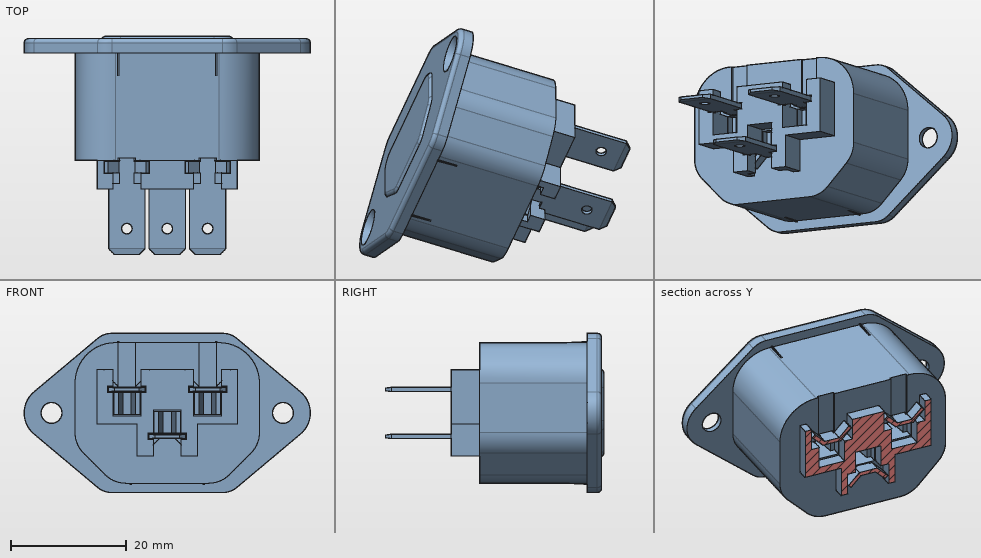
import cadquery as cq
import math


FLANGE_LENGTH = 49.5
FLANGE_HEIGHT = 27.55
FLANGE_THICKNESS = 2.5
FLANGE_END_RADIUS = 4.75
FLANGE_CORNER_RADIUS = 3.8
FLANGE_SLOPE = math.radians(40)
FLANGE_EDGE_ROUND = 0.8
SCREW_HOLE_DIAMETER = 3.55
COUNTERSINK_DIAMETER = 6.45
COUNTERSINK_ANGLE = 90

FACE_WIDTH = 22.75
FACE_HEIGHT = 15.25
FACE_RISE = 0.4
FACE_TOP_RADIUS = 3.25
FACE_CHAMFER = 5.3
FACE_BOTTOM_RADIUS = 2.48
FACE_EDGE_ROUND = 0.8

BODY_WIDTH = 31.9
BODY_HEIGHT = 24.3
BODY_DEPTH = 18.55
BODY_TOP_RADIUS = 7.0
BODY_CHAMFER = 6.7
BODY_BOTTOM_RADIUS = 5.0

RIB_TOP_X = 8.45
RIB_BOTTOM_X = 6.35
RIB_THICKNESS = 0.25
RIB_HEIGHT = 0.2
RIB_LENGTH = 3.9

BLOCK_WIDTH = 24.25
BLOCK_STEM_WIDTH = 10.4
BLOCK_HEIGHT = 14.95
BLOCK_STEP_Z = -1.95
BLOCK_DEPTH = 4.95

LINE_BLADE_X = 7.0
BLADE_Z = 4.05
BLADE_WIDTH = 6.35
BLADE_THICKNESS = 0.8
BLADE_END_Y = -34.85
BLADE_SHOULDER_Y = -22.5
BLADE_HOLE_DIAMETER = 1.8
BLADE_HOLE_TO_END = 4.5
BLADE_END_BEVEL = 1.05
BLADE_END_THINNING = 0.15
NECK_WIDTH = 2.5
NECK_EMBEDMENT = 1.5

WING_INNER_X = 1.4
WING_RUN = 1.9
WING_LENGTH = 2.0
WING_GAP = 0.15

SLOT_WIDTH = 4.8
SLOT_END_Z = -0.55
SLIT_WIDTH = 6.7
SLIT_HEIGHT = 1.15
WING_POCKET_WIDTH = 7.8
WING_POCKET_DEPTH = 2.3
CAVITY_WIDTH = 4.5
CAVITY_END_Z = -0.25
CAVITY_DEPTH = 1.5
TAPER_MOUTH_WIDTH = 2.95
TAPER_FLOOR_WIDTH = 1.4
TAPER_DEPTH = 8.4
GROOVE_WIDTH = 3.05
GROOVE_DEPTH = 0.45

BODY_BACK_Y = -BODY_DEPTH
BLOCK_BACK_Y = BODY_BACK_Y - BLOCK_DEPTH


def box(x_center, width, y_start, y_end, z_start, z_end):
    """Box centred on x_center that spans the given Y and Z ranges."""
    size = (width, abs(y_end - y_start), abs(z_end - z_start))
    center = (x_center, (y_start + y_end) / 2, (z_start + z_end) / 2)
    return cq.Workplane("XY").box(*size).translate(center)


def inlet_prism(width, height, top_radius, chamfer, bottom_radius, y_start, depth):
    """Rounded box with 45 degree lower corners, extruded toward -Y from y_start."""
    half_width = width / 2
    half_height = height / 2
    outline = [
        (-half_width, half_height),
        (half_width, half_height),
        (half_width, chamfer - half_height),
        (half_width - chamfer, -half_height),
        (chamfer - half_width, -half_height),
        (-half_width, chamfer - half_height),
    ]
    prism = cq.Workplane("XZ", origin=(0, y_start, 0)).polyline(outline).close().extrude(depth)
    prism = prism.edges("|Y and (not >Z)").fillet(bottom_radius)
    return prism.edges("|Y and >Z").fillet(top_radius)


def make_flange():
    half_height = FLANGE_HEIGHT / 2
    hole_x = FLANGE_LENGTH / 2 - FLANGE_END_RADIUS
    tip_x = hole_x + FLANGE_END_RADIUS / math.sin(FLANGE_SLOPE)
    corner_x = tip_x - half_height / math.tan(FLANGE_SLOPE)
    outline = [
        (-tip_x, 0),
        (-corner_x, half_height),
        (corner_x, half_height),
        (tip_x, 0),
        (corner_x, -half_height),
        (-corner_x, -half_height),
    ]
    flange = cq.Workplane("XZ").polyline(outline).close().extrude(-FLANGE_THICKNESS)
    flange = flange.edges("|Y and (<X or >X)").fillet(FLANGE_END_RADIUS)
    flange = flange.edges("|Y and (<Z or >Z)").fillet(FLANGE_CORNER_RADIUS)
    flange = flange.faces(">Y").edges().fillet(FLANGE_EDGE_ROUND)
    hole_centers = [(-hole_x, 0), (hole_x, 0)]
    front_face = flange.faces(">Y").workplane(origin=(0, FLANGE_THICKNESS, 0))
    return front_face.pushPoints(hole_centers).cskHole(
        SCREW_HOLE_DIAMETER, COUNTERSINK_DIAMETER, COUNTERSINK_ANGLE
    )


def make_face_plate():
    front_y = FLANGE_THICKNESS + FACE_RISE
    plate = inlet_prism(
        FACE_WIDTH, FACE_HEIGHT, FACE_TOP_RADIUS, FACE_CHAMFER, FACE_BOTTOM_RADIUS, front_y, front_y
    )
    return plate.faces(">Y").edges().fillet(FACE_EDGE_ROUND)


def make_body():
    return inlet_prism(
        BODY_WIDTH, BODY_HEIGHT, BODY_TOP_RADIUS, BODY_CHAMFER, BODY_BOTTOM_RADIUS, 0, BODY_DEPTH
    )


def make_rib(x, side):
    """Rib on the top (side = 1) or bottom (side = -1), fading out toward -Y."""
    surface_z = side * BODY_HEIGHT / 2
    root_z = surface_z - side * RIB_HEIGHT
    crest_z = surface_z + side * RIB_HEIGHT
    profile = [(0, root_z), (0, crest_z), (-RIB_LENGTH, surface_z), (-RIB_LENGTH, root_z)]
    rib = cq.Workplane("YZ").polyline(profile).close().extrude(RIB_THICKNESS / 2, both=True)
    return rib.translate((x, 0, 0))


def make_block():
    half_height = BLOCK_HEIGHT / 2
    bar = box(0, BLOCK_WIDTH, 0, BLOCK_BACK_Y, BLOCK_STEP_Z, half_height)
    stem = box(0, BLOCK_STEM_WIDTH, 0, BLOCK_BACK_Y, -half_height, half_height)
    return bar.union(stem)


def make_tab():
    """Flat outer part of a blade, with a bevelled and thinned end."""
    half_thickness = BLADE_THICKNESS / 2
    low_z = BLADE_Z - half_thickness
    high_z = BLADE_Z + half_thickness
    tab = box(0, BLADE_WIDTH, BLADE_SHOULDER_Y, BLADE_END_Y, low_z, high_z)
    tab = tab.edges("|Z and <Y").chamfer(BLADE_END_BEVEL)
    thinning_profile = [
        (BLADE_END_Y, half_thickness - BLADE_END_THINNING),
        (BLADE_END_Y + BLADE_END_BEVEL, half_thickness),
        (BLADE_END_Y, half_thickness),
    ]
    wedge = cq.Workplane("YZ").polyline(thinning_profile).close().extrude(BLADE_WIDTH / 2, both=True)
    hole = (
        cq.Workplane("XY", origin=(0, BLADE_END_Y + BLADE_HOLE_TO_END, low_z))
        .circle(BLADE_HOLE_DIAMETER / 2)
        .extrude(BLADE_THICKNESS)
    )
    for cutter in (wedge, wedge.mirror("XY")):
        tab = tab.cut(cutter.translate((0, 0, BLADE_Z)))
    return tab.cut(hole)


def make_wing():
    """Strip on the +X side of a blade, bent up at 45 degrees."""
    low_z = BLADE_Z - BLADE_THICKNESS / 2
    high_z = BLADE_Z + BLADE_THICKNESS / 2
    peak_x = WING_INNER_X + WING_RUN
    peak_z = high_z + WING_RUN
    end_shift = BLADE_THICKNESS / math.sqrt(2)
    end_x = peak_x + end_shift
    end_z = peak_z - end_shift
    profile = [
        (0, high_z),
        (WING_INNER_X, high_z),
        (peak_x, peak_z),
        (end_x, end_z),
        (end_x - (end_z - low_z), low_z),
        (0, low_z),
    ]
    start = (0, BODY_BACK_Y - WING_GAP, 0)
    return cq.Workplane("XZ", origin=start).polyline(profile).close().extrude(WING_LENGTH)


def make_blade():
    """Complete upright blade centred on X = 0, rooted in the body by its neck."""
    low_z = BLADE_Z - BLADE_THICKNESS / 2
    high_z = BLADE_Z + BLADE_THICKNESS / 2
    neck = box(0, NECK_WIDTH, BODY_BACK_Y + NECK_EMBEDMENT, BLADE_SHOULDER_Y, low_z, high_z)
    wing = make_wing()
    return make_tab().union(neck).union(wing).union(wing.mirror("YZ"))


def make_opening():
    """Everything cut from the block and body around an upright blade centred on X = 0."""
    block_top = BLOCK_HEIGHT / 2
    slit_low = BLADE_Z - SLIT_HEIGHT / 2
    slit_high = BLADE_Z + SLIT_HEIGHT / 2
    slot = box(0, SLOT_WIDTH, BODY_BACK_Y, BLOCK_BACK_Y, SLOT_END_Z, block_top)
    slit = box(0, SLIT_WIDTH, BLADE_SHOULDER_Y, BLOCK_BACK_Y, slit_low, slit_high)
    wing_pocket = box(
        0, WING_POCKET_WIDTH, BODY_BACK_Y, BODY_BACK_Y - WING_POCKET_DEPTH, slit_low, block_top
    )
    cavity_floor_y = BODY_BACK_Y + CAVITY_DEPTH
    cavity = box(0, CAVITY_WIDTH, BODY_BACK_Y, cavity_floor_y, CAVITY_END_Z, slit_low)
    taper_profile = [
        (-TAPER_MOUTH_WIDTH / 2, cavity_floor_y),
        (TAPER_MOUTH_WIDTH / 2, cavity_floor_y),
        (TAPER_FLOOR_WIDTH / 2, cavity_floor_y + TAPER_DEPTH),
        (-TAPER_FLOOR_WIDTH / 2, cavity_floor_y + TAPER_DEPTH),
    ]
    taper = (
        cq.Workplane("XY", origin=(0, 0, CAVITY_END_Z))
        .polyline(taper_profile)
        .close()
        .extrude(slit_low - CAVITY_END_Z)
    )
    return slot.union(slit).union(wing_pocket).union(cavity).union(taper)


def make_groove():
    """Shallow groove in the body's back face above a line blade."""
    return box(0, GROOVE_WIDTH, BODY_BACK_Y, BODY_BACK_Y + GROOVE_DEPTH, BLADE_Z, BODY_HEIGHT / 2)


def place_terminals(line_shape, earth_shape):
    """Two upright copies side by side and one turned over on the centre plane."""
    left = line_shape.translate((-LINE_BLADE_X, 0, 0))
    right = line_shape.translate((LINE_BLADE_X, 0, 0))
    return [left, right, earth_shape.mirror("XY")]


result = make_flange().union(make_face_plate()).union(make_body()).union(make_block())

for rib_x, side in ((RIB_TOP_X, 1), (RIB_BOTTOM_X, -1)):
    result = result.union(make_rib(-rib_x, side)).union(make_rib(rib_x, side))

opening = make_opening()
for cutter in place_terminals(opening.union(make_groove()), opening):
    result = result.cut(cutter)

blade = make_blade()
for terminal in place_terminals(blade, blade):
    result = result.union(terminal)